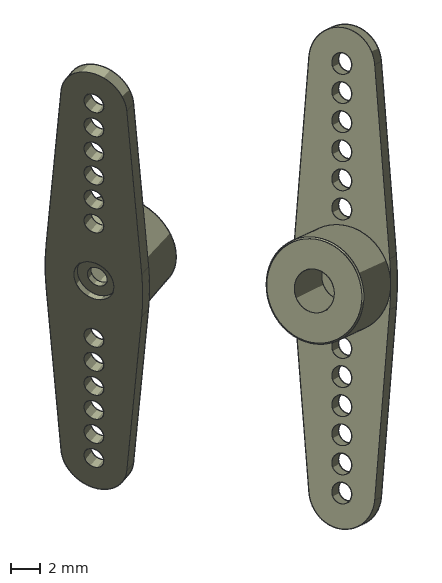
import cadquery as cq
import math

arm_length = 34.5
arm_width = 7.35
overall_depth = 5.0
plate_thickness = 1.0

tip_radius = 2.5
waist_radius = 20.7

hole_diameter = 1.5
hole_pitch = 2.0
holes_per_row = 6

hub_edge_chamfer = 0.1
screw_hole_diameter = 1.5
screw_head_diameter = 3.0
screw_head_depth = plate_thickness / 2
socket_diameter = 3.0

half_width = arm_width / 2
half_length = arm_length / 2
tip_center = half_length - tip_radius
plate_front = -overall_depth / 2
plate_back = plate_front + plate_thickness
hub_back = overall_depth / 2

waist_offset = waist_radius - half_width
center_distance = math.hypot(waist_offset, tip_center)
center_line_angle = math.atan2(tip_center, waist_offset)
taper_angle = center_line_angle - math.acos((waist_radius - tip_radius) / center_distance)

shoulder_x = waist_radius * math.cos(taper_angle) - waist_offset
shoulder_z = waist_radius * math.sin(taper_angle)
tip_start_x = tip_radius * math.cos(taper_angle)
tip_start_z = tip_center + tip_radius * math.sin(taper_angle)


def front_plane(y):
    """Sketch plane parallel to XZ at depth y, with extrusion running toward +Y."""
    return cq.Workplane(cq.Plane(origin=(0, y, 0), xDir=(1, 0, 0), normal=(0, 1, 0)))


def make_plate():
    return (
        front_plane(plate_front)
        .moveTo(shoulder_x, -shoulder_z)
        .threePointArc((half_width, 0), (shoulder_x, shoulder_z))
        .lineTo(tip_start_x, tip_start_z)
        .threePointArc((0, half_length), (-tip_start_x, tip_start_z))
        .lineTo(-shoulder_x, shoulder_z)
        .threePointArc((-half_width, 0), (-shoulder_x, -shoulder_z))
        .lineTo(-tip_start_x, -tip_start_z)
        .threePointArc((0, -half_length), (tip_start_x, -tip_start_z))
        .close()
        .extrude(plate_thickness)
    )


def make_hub():
    return (
        front_plane(plate_back)
        .circle(half_width)
        .extrude(hub_back - plate_back)
        .faces(">Y")
        .edges()
        .chamfer(hub_edge_chamfer)
    )


def make_linkage_holes():
    centers = []
    for side in (1, -1):
        for index in range(holes_per_row):
            centers.append((0, side * (tip_center - index * hole_pitch)))
    return front_plane(plate_front).pushPoints(centers).circle(hole_diameter / 2).extrude(plate_thickness)


def make_screw_seat():
    screw_hole = front_plane(plate_front).circle(screw_hole_diameter / 2).extrude(overall_depth)
    head_recess = front_plane(plate_front).circle(screw_head_diameter / 2).extrude(screw_head_depth)
    return screw_hole.union(head_recess)


def make_shaft_socket():
    return front_plane(plate_back).circle(socket_diameter / 2).extrude(hub_back - plate_back)


arm = make_plate().union(make_hub())
result = arm.cut(make_linkage_holes()).cut(make_screw_seat()).cut(make_shaft_socket())